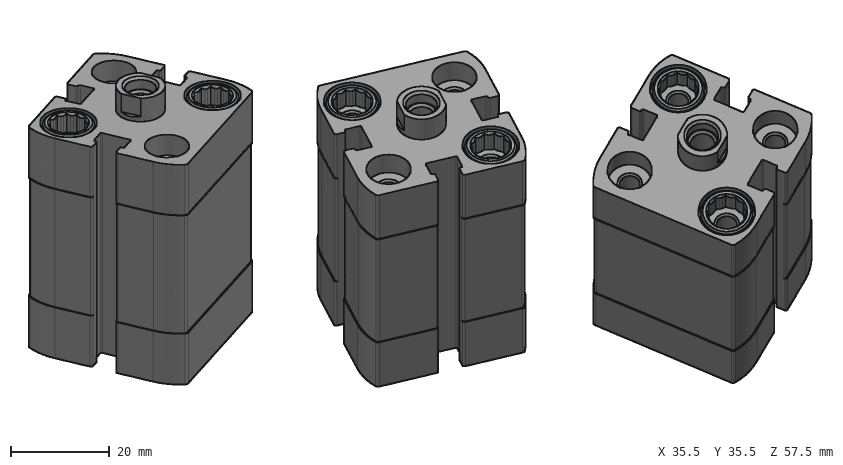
import cadquery as cq
import math

width = 35.5
total_height = 57.5
body_height = 52.0
cap_height = 12.0
barrel_inset = 0.2
corner_radius = 13.0
edge_fillet = 0.8
hole_offset = 11.0

slot_mouth_width = 5.25
slot_inner_width = 6.8
slot_lip_depth = 2.4
slot_depth = 5.9
slot_corner_fillet = 0.3
slot_lip_fillet = 0.45

through_diameter = 4.15
pilot_diameter = 5.0
counterbore_diameter = 9.0
counterbore_depth = 4.9

groove_diameter = 11.5
collar_diameter = 10.5
collar_chamfer = 0.4
groove_depth = 2.0
socket_root_diameter = 8.05
socket_crest_diameter = 7.6
socket_tooth_count = 12
tooth_crest_angle = 9.0
socket_depth = 4.65
socket_chamfer_diameter = 8.4
socket_chamfer_depth = 0.65

rod_diameter = 10.0
rod_bottom = body_height - cap_height
rod_sink_diameter = 7.5
rod_bore_diameter = 6.4
rod_bore_depth = 2.75
rod_taper_diameter = 6.05
rod_core_diameter = 4.95
rod_core_depth = 10.0
drill_tip_angle = 120.0
flat_distance = 9.0
flat_height = 4.25
flat_runout_angle = 30.0


def disc(diameter, bottom, top):
    """Cylinder on the Z axis between two heights."""
    return cq.Workplane("XY").workplane(offset=bottom).circle(diameter / 2).extrude(top - bottom)


def cone(bottom_diameter, top_diameter, bottom, top):
    """Truncated cone on the Z axis between two heights."""
    solid = cq.Solid.makeCone(bottom_diameter / 2, top_diameter / 2, top - bottom, cq.Vector(0, 0, bottom))
    return cq.Workplane(obj=solid)


def rounded_block(inset, bottom, height):
    """Block whose +Y and -Y faces curve down to the side faces at the four corners."""
    half = width / 2 - inset
    radius = corner_radius - inset
    arc_center_y = half - radius

    def arc_y(x):
        return arc_center_y + math.sqrt(radius**2 - (x - hole_offset) ** 2)

    arc_middle_x = (hole_offset + half) / 2
    corner = (half, arc_y(half))
    middle = (arc_middle_x, arc_y(arc_middle_x))
    outline = (
        cq.Workplane("XY")
        .workplane(offset=bottom)
        .moveTo(-hole_offset, half)
        .lineTo(hole_offset, half)
        .threePointArc(middle, corner)
        .lineTo(corner[0], -corner[1])
        .threePointArc((middle[0], -middle[1]), (hole_offset, -half))
        .lineTo(-hole_offset, -half)
        .threePointArc((-middle[0], -middle[1]), (-corner[0], -corner[1]))
        .lineTo(-corner[0], corner[1])
        .threePointArc((-middle[0], middle[1]), (-hole_offset, half))
        .close()
    )
    return outline.extrude(height).edges("|Z and (<X or >X)").fillet(edge_fillet)


def slot_cutter(inset):
    """T-slot cutter for the +X face, with a mouth that flares over rounded lips."""
    face = width / 2 - inset
    floor = width / 2 - slot_depth
    step = width / 2 - slot_lip_depth
    mouth = slot_mouth_width / 2
    inner = slot_inner_width / 2
    lip = slot_lip_fillet
    flare = mouth + lip
    bulge = lip * (1 - math.sqrt(0.5))
    tee = (
        cq.Workplane("XY")
        .polyline([(floor, -inner), (step, -inner), (step, -mouth), (width, -mouth),
                   (width, mouth), (step, mouth), (step, inner), (floor, inner)])
        .close()
        .extrude(body_height)
        .edges("|Z")
        .fillet(slot_corner_fillet)
    )
    flared_mouth = (
        cq.Workplane("XY")
        .moveTo(face - lip, -mouth)
        .threePointArc((face - bulge, -mouth - bulge), (face, -flare))
        .lineTo(face, flare)
        .threePointArc((face - bulge, mouth + bulge), (face - lip, mouth))
        .close()
        .extrude(body_height)
    )
    return tee.union(flared_mouth)


def make_section(inset, bottom, height):
    """Cap or barrel section of the housing with its three T-slots."""
    section = rounded_block(inset, bottom, height)
    for angle in (90, 180, 270):
        section = section.cut(slot_cutter(inset).rotate((0, 0, 0), (0, 0, 1), angle))
    return section


def through_hole(floor):
    """Through hole with a chamfered edge at the given floor height."""
    chamfer = (pilot_diameter - through_diameter) / 2
    hole = disc(through_diameter, 0, floor)
    return hole.union(cone(through_diameter, pilot_diameter, floor - chamfer, floor))


def counterbored_hole():
    floor = body_height - counterbore_depth
    return through_hole(floor).union(disc(counterbore_diameter, floor, body_height))


def toothed_socket(floor):
    """Prism with inward teeth that have flat crests and V-shaped roots between them."""
    pitch = 360 / socket_tooth_count
    points = []
    for tooth in range(socket_tooth_count):
        root_angle = tooth * pitch
        crest_angle = root_angle + pitch / 2
        for radius, angle in (
            (socket_root_diameter / 2, root_angle),
            (socket_crest_diameter / 2, crest_angle - tooth_crest_angle / 2),
            (socket_crest_diameter / 2, crest_angle + tooth_crest_angle / 2),
        ):
            turn = math.radians(angle)
            points.append((radius * math.cos(turn), radius * math.sin(turn)))
    return cq.Workplane("XY").workplane(offset=floor).polyline(points).close().extrude(body_height - floor)


def socket_hole():
    """Through hole under a toothed socket, with a ring groove around the socket's collar."""
    floor = body_height - socket_depth
    groove_floor = body_height - groove_depth
    chamfer_bottom = body_height - socket_chamfer_depth
    collar = disc(collar_diameter, groove_floor, body_height).faces(">Z").chamfer(collar_chamfer)
    groove = disc(groove_diameter, groove_floor, body_height).cut(collar)
    chamfer = cone(socket_crest_diameter, socket_chamfer_diameter, chamfer_bottom, body_height)
    return through_hole(floor).union(toothed_socket(floor)).union(chamfer).union(groove)


def make_housing():
    barrel_height = body_height - 2 * cap_height
    housing = make_section(0, 0, cap_height)
    housing = housing.union(make_section(barrel_inset, cap_height, barrel_height))
    housing = housing.union(make_section(0, body_height - cap_height, cap_height))
    for side in (-1, 1):
        housing = housing.cut(counterbored_hole().translate((side * hole_offset, -side * hole_offset, 0)))
        housing = housing.cut(socket_hole().translate((side * hole_offset, side * hole_offset, 0)))
    return housing.cut(disc(rod_diameter, rod_bottom, body_height))


def rod_hole():
    """Countersunk bore with a flat ledge that tapers down to a drilled core."""
    sink_radius = rod_sink_diameter / 2
    bore_radius = rod_bore_diameter / 2
    taper_radius = rod_taper_diameter / 2
    core_radius = rod_core_diameter / 2
    tip_height = core_radius / math.tan(math.radians(drill_tip_angle / 2))
    bore_bottom = total_height - rod_bore_depth
    core_bottom = total_height - rod_core_depth
    return (
        cq.Workplane("XZ")
        .polyline([
            (0, total_height),
            (sink_radius, total_height),
            (bore_radius, total_height - (sink_radius - bore_radius)),
            (bore_radius, bore_bottom),
            (taper_radius, bore_bottom),
            (core_radius, bore_bottom - (taper_radius - core_radius)),
            (core_radius, core_bottom),
            (0, core_bottom - tip_height),
        ])
        .close()
        .revolve(360, (0, 0, 0), (0, 1, 0))
    )


def wrench_flat():
    """Cutter for the flat on the +Y side of the rod, ending in a sloped runout."""
    flat_y = flat_distance / 2
    outer_y = rod_diameter / 2
    flat_bottom = total_height - flat_height
    runout = (outer_y - flat_y) * math.tan(math.radians(flat_runout_angle))
    return (
        cq.Workplane("YZ")
        .polyline([
            (flat_y, total_height),
            (flat_y, flat_bottom),
            (outer_y, flat_bottom - runout),
            (outer_y, total_height),
        ])
        .close()
        .extrude(rod_diameter / 2, both=True)
    )


def make_rod():
    rod = disc(rod_diameter, rod_bottom, total_height).cut(rod_hole())
    for angle in (0, 180):
        rod = rod.cut(wrench_flat().rotate((0, 0, 0), (0, 0, 1), angle))
    return rod


housing = make_housing()
piston_rod = make_rod()

result = cq.Compound.makeCompound([housing.val(), piston_rod.val()])